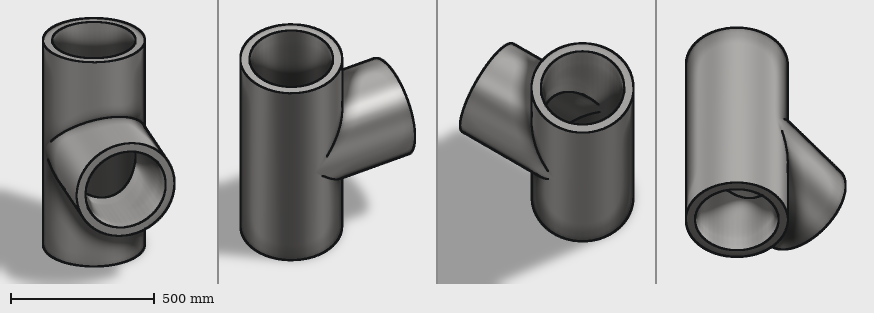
import cadquery as cq

run_length = 789.0
branch_reach = 394.0
outer_diameter = 355.0
wall = 32.0
bore_diameter = outer_diameter - 2 * wall


def tee_body(diameter):
    """Run and branch cylinders of one diameter, with crossing axes."""
    run = cq.Workplane("XY").circle(diameter / 2).extrude(run_length / 2, both=True)
    branch = cq.Workplane("YZ").circle(diameter / 2).extrude(branch_reach)
    return run.union(branch)


result = tee_body(outer_diameter).cut(tee_body(bore_diameter))